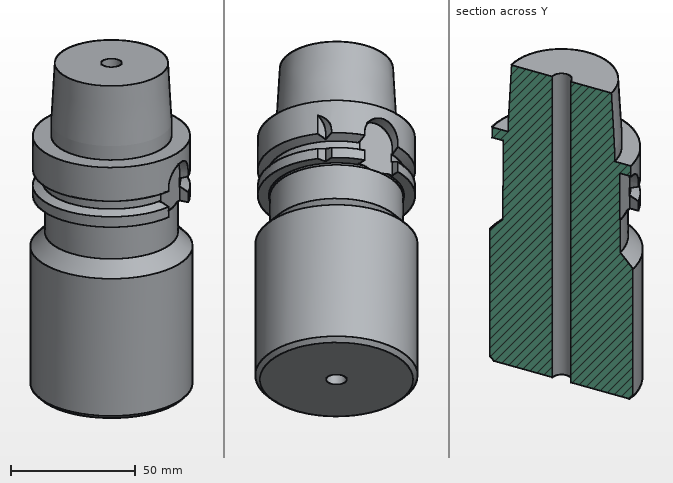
import cadquery as cq

total_height = 142.0
base_chamfer = 1.8
body_top = 61.9
shoulder_top = 68.0
flange_bottom = 84.0
groove_lower_edge = 88.6
groove_floor_bottom = 90.3
groove_floor_top = 93.7
groove_upper_edge = 95.4
flange_top = 110.2
taper_bottom = 116.3

body_radius = 32.5
neck_radius = 26.7
flange_radius = 31.5
groove_radius = 27.7
shank_radius = 24.1
shank_tip_radius = 22.7
bore_radius = 4.1

collar_flare = 0.4
collar_bottom = flange_bottom - 0.7

slot_radius = 8.2
slot_arc_height = 96.8
drive_floor_x = 26.5
notch_floor_x = 20.3
notch_wall_y = 20.2


def turned_blank():
    """Revolve the holder's half section about the Z axis."""
    section = [
        (0, 0),
        (body_radius - base_chamfer, 0),
        (body_radius, base_chamfer),
        (body_radius, body_top),
        (neck_radius, shoulder_top),
        (neck_radius, collar_bottom),
        (neck_radius + collar_flare, flange_bottom),
        (flange_radius, flange_bottom),
        (flange_radius, groove_lower_edge),
        (groove_radius, groove_floor_bottom),
        (groove_radius, groove_floor_top),
        (flange_radius, groove_upper_edge),
        (flange_radius, flange_top),
        (shank_radius, flange_top),
        (shank_radius, taper_bottom),
        (shank_tip_radius, total_height),
        (0, total_height),
    ]
    return cq.Workplane("XZ").polyline(section).close().revolve(360, (0, 0), (0, 1))


def flange_slot(floor_x, center_y):
    """Round-topped cutter on the -X side, from a flat floor out past the flange."""
    depth = body_radius - floor_x
    return (
        cq.Workplane("YZ", origin=(-body_radius, center_y, 0))
        .moveTo(-slot_radius, collar_bottom)
        .lineTo(-slot_radius, slot_arc_height)
        .threePointArc((0, slot_arc_height + slot_radius), (slot_radius, slot_arc_height))
        .lineTo(slot_radius, collar_bottom)
        .close()
        .extrude(depth)
    )


def through_bore():
    return cq.Workplane("XY").circle(bore_radius).extrude(total_height)


drive_slot = flange_slot(drive_floor_x, 0)
opposite_drive_slot = drive_slot.rotate((0, 0, 0), (0, 0, 1), 180)
orientation_notch = flange_slot(notch_floor_x, notch_wall_y + slot_radius)

result = (
    turned_blank()
    .cut(through_bore())
    .cut(drive_slot)
    .cut(opposite_drive_slot)
    .cut(orientation_notch)
)